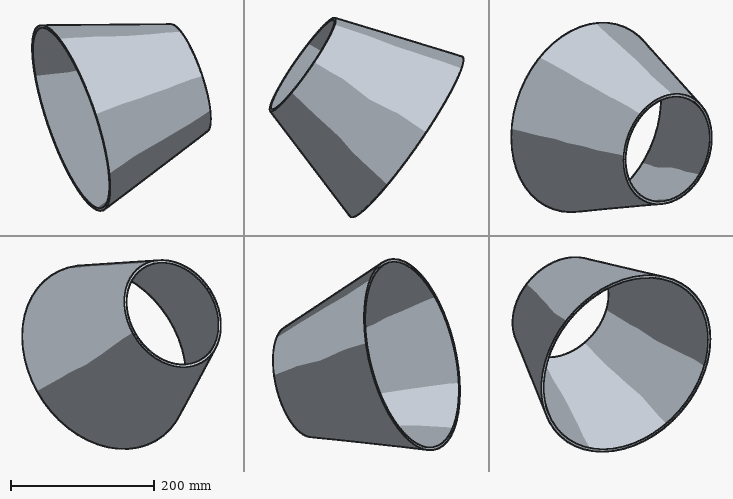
import cadquery as cq

large_diameter = 273.0
small_diameter = 159.0
length = 178.0
wall = 4.0

large_radius = large_diameter / 2
small_radius = small_diameter / 2

wall_section = (
    cq.Workplane("XY")
    .moveTo(large_radius - wall, 0)
    .lineTo(large_radius, 0)
    .lineTo(small_radius, length)
    .lineTo(small_radius - wall, length)
    .close()
)

result = wall_section.revolve(360, (0, 0, 0), (0, 1, 0))